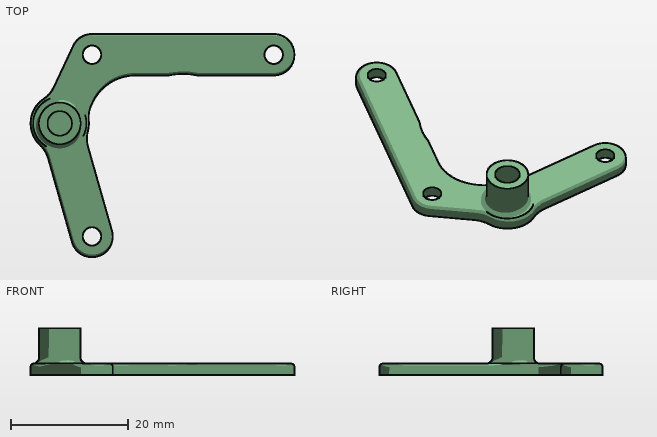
import cadquery as cq
import math

plate_thickness = 2.0
pad_radius = 5.0
arm_half_width = 3.55
blend_radius = 5.0
elbow_radius = 8.0
edge_round = 0.65

hole_diameter = 3.1
hole_spacing = 31.0
corner_hole = (5.5, 11.7)
far_hole = (corner_hole[0] + hole_spacing, corner_hole[1])
lower_hole = (corner_hole[0], corner_hole[1] - hole_spacing)

relief_width = 5.0
relief_depth = 0.25

boss_radius = 3.55
total_height = 8.0
boss_flare = 1.0
bore_diameter = 4.2
bore_depth = total_height - plate_thickness


def arm_direction(hole):
    """Unit vector from the pad center toward a hole."""
    length = math.hypot(*hole)
    return hole[0] / length, hole[1] / length


def beside(direction, along, left):
    """Point reached by going along a direction from the origin, then to its left."""
    ux, uy = direction
    return along * ux - left * uy, along * uy + left * ux


def arm_end(hole, side):
    """End of an arm's straight edge, level with the hole; side is 1 left, -1 right."""
    return beside(arm_direction(hole), math.hypot(*hole), side * arm_half_width)


blend_reach = math.sqrt((pad_radius + blend_radius) ** 2 - (arm_half_width + blend_radius) ** 2)


def blend_on_arm(hole, side):
    """Tangent point of the blend on the arm edge."""
    return beside(arm_direction(hole), blend_reach, side * arm_half_width)


def blend_on_pad(hole, side):
    """Tangent point of the blend on the pad circle."""
    center = beside(arm_direction(hole), blend_reach, side * (arm_half_width + blend_radius))
    share = pad_radius / (pad_radius + blend_radius)
    return center[0] * share, center[1] * share


def make_plate():
    top_y = corner_hole[1] + arm_half_width
    inner_y = corner_hole[1] - arm_half_width
    relief_x = (corner_hole[0] + far_hole[0]) / 2

    slant = arm_direction(corner_hole)
    edge_x, edge_y = beside(slant, 0, -arm_half_width)
    elbow_x = edge_x + (inner_y - edge_y) * slant[0] / slant[1]
    elbow_tangent = elbow_radius * math.tan(math.atan2(slant[1], slant[0]) / 2)
    elbow_end = (elbow_x - elbow_tangent * slant[0], inner_y - elbow_tangent * slant[1])

    outline = (
        cq.Workplane("XY")
        .moveTo(corner_hole[0], top_y)
        .lineTo(far_hole[0], top_y)
        .tangentArcPoint((far_hole[0], inner_y), relative=False)
        .lineTo(relief_x + relief_width / 2, inner_y)
        .threePointArc((relief_x, inner_y + relief_depth), (relief_x - relief_width / 2, inner_y))
        .lineTo(elbow_x + elbow_tangent, inner_y)
        .tangentArcPoint(elbow_end, relative=False)
        .lineTo(*blend_on_arm(corner_hole, -1))
        .tangentArcPoint(blend_on_pad(corner_hole, -1), relative=False)
        .tangentArcPoint(blend_on_pad(lower_hole, 1), relative=False)
        .tangentArcPoint(blend_on_arm(lower_hole, 1), relative=False)
        .lineTo(*arm_end(lower_hole, 1))
        .tangentArcPoint(arm_end(lower_hole, -1), relative=False)
        .lineTo(*blend_on_arm(lower_hole, -1))
        .tangentArcPoint(blend_on_pad(lower_hole, -1), relative=False)
        .tangentArcPoint(blend_on_pad(corner_hole, 1), relative=False)
        .tangentArcPoint(blend_on_arm(corner_hole, 1), relative=False)
        .lineTo(*arm_end(corner_hole, 1))
        .tangentArcPoint((corner_hole[0], top_y), relative=False)
        .close()
    )
    plate = outline.extrude(plate_thickness)
    return plate.faces(">Z").edges().fillet(edge_round)


def make_boss():
    """Revolved boss whose foot flares out onto the pad."""
    foot_radius = boss_radius + boss_flare
    flare_top = plate_thickness + boss_flare
    diagonal = boss_flare * math.sqrt(0.5)
    flare_middle = (foot_radius - diagonal, flare_top - diagonal)
    return (
        cq.Workplane("XZ")
        .lineTo(foot_radius, 0)
        .lineTo(foot_radius, plate_thickness)
        .threePointArc(flare_middle, (boss_radius, flare_top))
        .lineTo(boss_radius, total_height)
        .lineTo(0, total_height)
        .close()
        .revolve(360, (0, 0), (0, 1))
    )


holes = (
    cq.Workplane("XY")
    .pushPoints([corner_hole, far_hole, lower_hole])
    .circle(hole_diameter / 2)
    .extrude(plate_thickness)
)
bore = (
    cq.Workplane("XY", origin=(0, 0, total_height - bore_depth))
    .circle(bore_diameter / 2)
    .extrude(bore_depth)
)

result = make_plate().union(make_boss()).cut(holes).cut(bore)